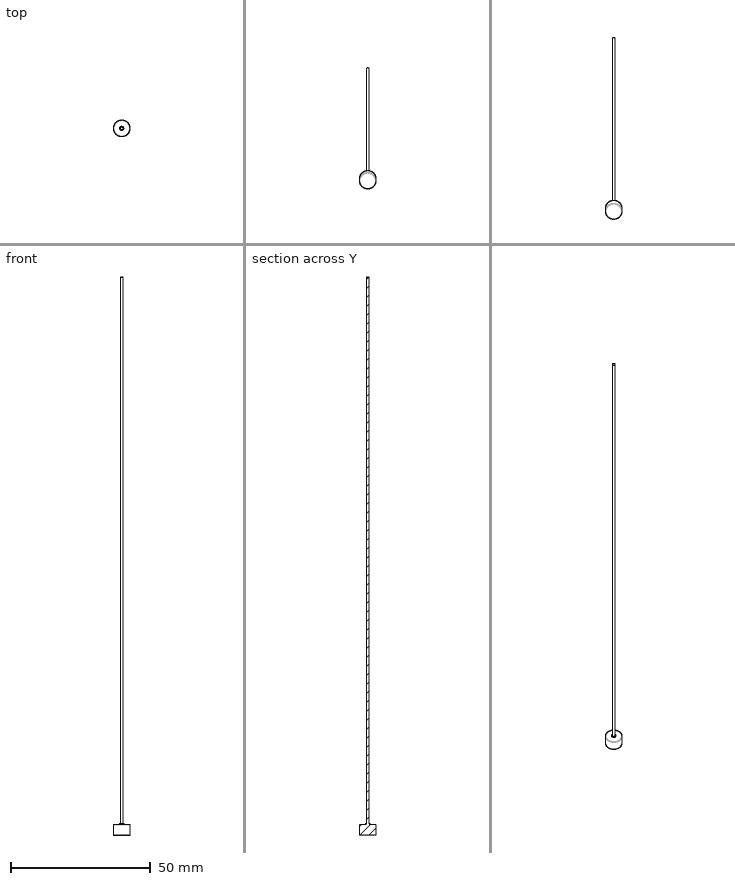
import cadquery as cq

total_height = 200.0
base_diameter = 6.0
rod_diameter = 1.0

base_height = 4.0
rim_radius = 0.2

collar_diameter = 1.5
collar_height = 0.3


def upright_cylinder(diameter, bottom, top):
    """Cylinder along the Z axis between two heights."""
    return cq.Workplane("XY").workplane(offset=bottom).circle(diameter / 2).extrude(top - bottom)


def make_base():
    """Base disc with its upper and lower rims rounded."""
    return upright_cylinder(base_diameter, 0, base_height).edges("%CIRCLE").fillet(rim_radius)


collar = upright_cylinder(collar_diameter, base_height, base_height + collar_height)
rod = upright_cylinder(rod_diameter, base_height, total_height)

result = make_base().union(collar).union(rod)